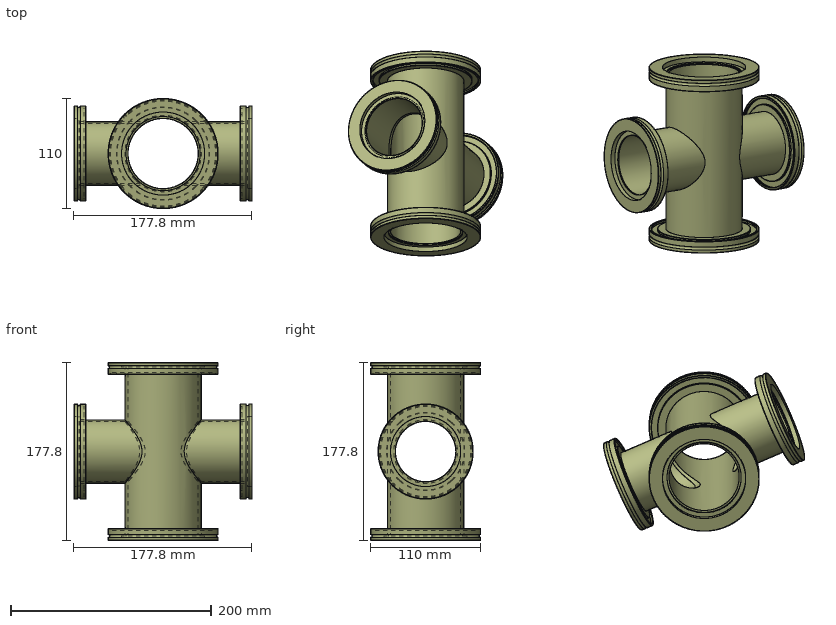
import cadquery as cq

span = 177.8
half_span = span / 2

main_outer_d = 76.2
main_bore_d = 70.0
branch_outer_d = 63.5
branch_bore_d = 60.2

flange_thickness = 12.0
socket_clearance = 0.2
pipe_end_depth = 6.0
rim_groove_radius = 1.5
rim_groove_depth_from_face = 4.75
back_groove_depth = 2.0
edge_chamfer = 0.4
recess_depth = 4.75

main_flange_d = 110.0
main_flange_bore_d = 74.0
main_recess_d = 83.0
main_back_groove_inner_d = 93.0
main_back_groove_outer_d = 105.0

branch_flange_d = 95.0
branch_flange_bore_d = 60.3
branch_recess_d = 70.0
branch_back_groove_inner_d = 78.0
branch_back_groove_outer_d = 90.0


def disc(diameter, start, length):
    """Cylinder on the Z axis rising from height `start`."""
    return cq.Workplane("XY").workplane(offset=start).circle(diameter / 2).extrude(length)


def make_flange(outer_d, bore_d, recess_d, pipe_d, groove_inner_d, groove_outer_d):
    """Flange on the Z axis with its sealing face at Z = 0 and its back at +Z."""
    back_groove_floor = flange_thickness - back_groove_depth
    back_groove = disc(groove_outer_d, back_groove_floor, back_groove_depth).cut(
        disc(groove_inner_d, back_groove_floor, back_groove_depth)
    )
    flange = disc(outer_d, 0, flange_thickness).cut(back_groove)
    flange = flange.faces("<Z or >Z").edges().chamfer(edge_chamfer)

    flange = flange.cut(disc(bore_d, 0, flange_thickness))
    flange = flange.cut(disc(recess_d, 0, recess_depth))

    socket_depth = flange_thickness - pipe_end_depth
    flange = flange.cut(disc(pipe_d + socket_clearance, pipe_end_depth, socket_depth))

    rim_groove = cq.Solid.makeTorus(
        outer_d / 2, rim_groove_radius, cq.Vector(0, 0, rim_groove_depth_from_face)
    )
    return flange.cut(cq.Workplane(rim_groove))


def x_cylinder(diameter, start, length):
    """Cylinder on the X axis running from X = `start`."""
    return cq.Workplane("YZ").workplane(offset=start).circle(diameter / 2).extrude(length)


pipe_end = half_span - pipe_end_depth
main_pipe = disc(main_outer_d, -pipe_end, 2 * pipe_end)
main_pipe = main_pipe.cut(disc(main_bore_d, -pipe_end, 2 * pipe_end))
main_pipe = main_pipe.cut(x_cylinder(branch_bore_d, -half_span, span))


def make_branch_pipe():
    """Branch pipe on the -X side, its inner end saddled onto the main pipe."""
    pipe = x_cylinder(branch_outer_d, -pipe_end, pipe_end)
    pipe = pipe.cut(x_cylinder(branch_bore_d, -pipe_end, pipe_end))
    return pipe.cut(disc(main_outer_d, -half_span, span))


def make_main_flange():
    """Main flange at the -Z end."""
    flange = make_flange(
        main_flange_d, main_flange_bore_d, main_recess_d,
        main_outer_d, main_back_groove_inner_d, main_back_groove_outer_d,
    )
    return flange.translate((0, 0, -half_span))


def make_branch_flange():
    """Branch flange at the -X end."""
    flange = make_flange(
        branch_flange_d, branch_flange_bore_d, branch_recess_d,
        branch_outer_d, branch_back_groove_inner_d, branch_back_groove_outer_d,
    )
    return flange.rotate((0, 0, 0), (0, 1, 0), 90).translate((-half_span, 0, 0))


main_flanges = []
branch_flanges = []
branch_pipes = []
for turn in (0, 180):
    main_flanges.append(make_main_flange().rotate((0, 0, 0), (0, 1, 0), turn).val())
    branch_flanges.append(make_branch_flange().rotate((0, 0, 0), (0, 1, 0), turn).val())
    branch_pipes.append(make_branch_pipe().rotate((0, 0, 0), (0, 1, 0), turn).val())

result = cq.Compound.makeCompound(
    [main_pipe.val(), *branch_pipes, *main_flanges, *branch_flanges]
)